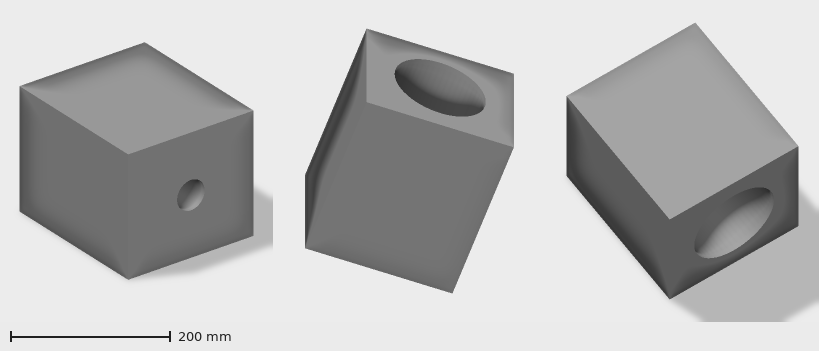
import cadquery as cq
import math

length = 227.7
width = 196.0
height = 177.9

bore_radius = 121.4 / 2
bore_depth = 65.8
throat_radius = 43.0 / 2
throat_round = 20.0

mouth_x = -length / 2
exit_x = length / 2
dome_center_x = mouth_x + bore_depth

round_center_radius = throat_radius + throat_round
center_distance = bore_radius + throat_round
round_angle = math.asin(round_center_radius / center_distance)
round_center_x = dome_center_x + center_distance * math.cos(round_angle)


def polar_point(center_x, center_radius, arc_radius, angle):
    """Point (x, radius) on an arc, with the angle measured from the +X axis."""
    return (
        center_x + arc_radius * math.cos(angle),
        center_radius + arc_radius * math.sin(angle),
    )


def make_passage():
    """Bore, hemisphere, rounded entry and throat as one revolved solid."""
    dome_middle_angle = (math.pi / 2 + round_angle) / 2
    round_start_angle = math.pi + round_angle
    round_end_angle = 3 * math.pi / 2
    round_middle_angle = (round_start_angle + round_end_angle) / 2

    dome_middle = polar_point(dome_center_x, 0, bore_radius, dome_middle_angle)
    dome_end = polar_point(dome_center_x, 0, bore_radius, round_angle)
    round_middle = polar_point(round_center_x, round_center_radius, throat_round, round_middle_angle)

    return (
        cq.Workplane("XY")
        .moveTo(mouth_x, 0)
        .lineTo(mouth_x, bore_radius)
        .lineTo(dome_center_x, bore_radius)
        .threePointArc(dome_middle, dome_end)
        .threePointArc(round_middle, (round_center_x, throat_radius))
        .lineTo(exit_x, throat_radius)
        .lineTo(exit_x, 0)
        .close()
        .revolve(360, (0, 0, 0), (1, 0, 0))
    )


block = cq.Workplane("XY").box(length, width, height)
result = block.cut(make_passage())